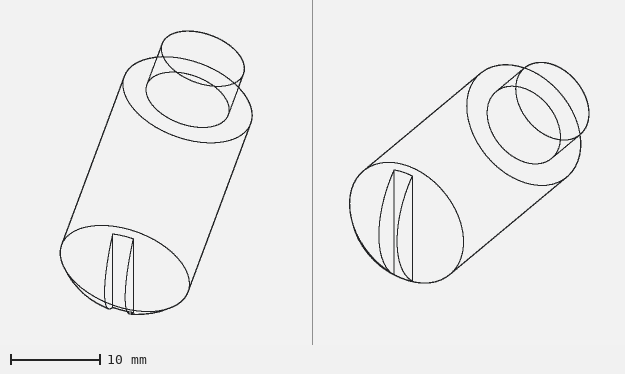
import cadquery as cq
import math

overall_length = 34.43
body_diameter = 15.15
pin_diameter = 9.75
pin_length = 6.0
dome_height = 3.95
slot_width = 2.4
slot_floor_height = 0.7

body_radius = body_diameter / 2
pin_radius = pin_diameter / 2
dome_radius = (body_radius**2 + dome_height**2) / (2 * dome_height)

lost_tip = dome_radius - math.sqrt(dome_radius**2 - (slot_width / 2) ** 2)
pin_end_y = overall_length - dome_height + lost_tip
shoulder_y = pin_end_y - pin_length

half_angle = math.asin(body_radius / dome_radius) / 2
dome_centre_y = dome_radius - dome_height
arc_middle = (
    dome_radius * math.sin(half_angle),
    dome_centre_y - dome_radius * math.cos(half_angle),
)


def make_turned_body():
    """Pin, cylindrical body and dome, with the dome's base at Y = 0."""
    profile = (
        cq.Workplane("XY")
        .moveTo(0, -dome_height)
        .threePointArc(arc_middle, (body_radius, 0))
        .lineTo(body_radius, shoulder_y)
        .lineTo(pin_radius, shoulder_y)
        .lineTo(pin_radius, pin_end_y)
        .lineTo(0, pin_end_y)
        .close()
    )
    return profile.revolve(360, (0, 0, 0), (0, 1, 0))


def make_slot():
    """Screwdriver slot running across the dome along Z."""
    slot_depth = dome_height - slot_floor_height
    slot = cq.Workplane("XY").box(slot_width, slot_depth, body_diameter)
    return slot.translate((0, -slot_floor_height - slot_depth / 2, 0))


result = make_turned_body().cut(make_slot())